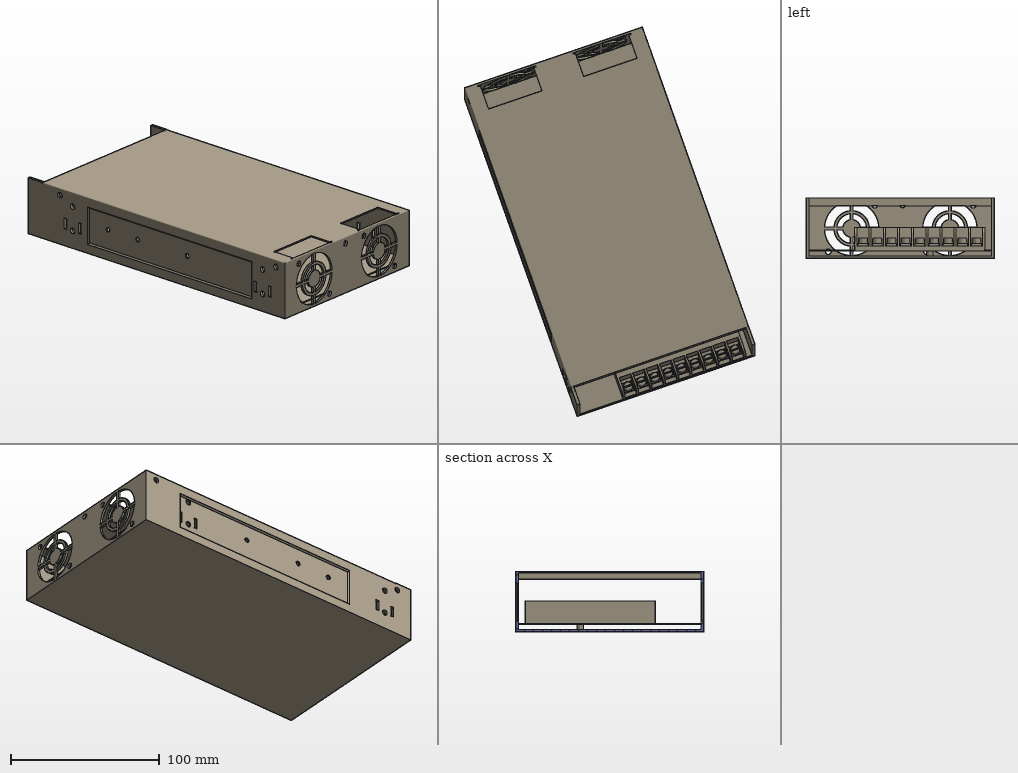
import cadquery as cq
length = 230.0
width = 126.5
height = 40.5
wall = 2.0
floor_thickness = 1.5
rear_thickness = 1.5
inner_width = width - 2 * wall

cover_front = 12.9
cover_thickness = 1.0
lip_height = 5.3

bend_radius = 0.7

window_centre_y = 33.8
window_width = 38.0
window_front = 211.0
relief_width = 41.0
relief_length = 0.7

fan_spacing = 66.0
fan_middle_y = -0.35
fan_centre_z = 20.0
grille_radius = 18.2
ring_outer_radius = 12.0
ring_inner_radius = 10.0
hub_radius = 6.0
spoke_width = 2.0
fan_screw_offset = 15.6
screw_hole_diameter = 3.7
rear_top_hole_y = -1.5
rear_top_hole_z = 35.9

side_hole_diameter = 4.0
near_group_x = (40.0, 210.0)
far_group_x = (22.5, 192.5)
side_group_z = (12.6, 30.4)
slot_spacing = 12.9
slot_width = 2.3
slot_height = 7.5
slot_z = 16.0
near_cover_hole_x = (28.5, 222.0)
far_cover_hole_x = (11.7, 221.3)
cover_hole_z = 35.5
recess_front, recess_rear = 53.1, 200.3
recess_bottom, recess_top = 6.5, 33.5
recess_depth = 1.2
recess_bevel = 1.04
panel_hole_x = (70.5, 97.0, 141.5)
panel_hole_z = 21.5
panel_hole_diameter = 3.2

board_bottom = 4.8
board_thickness = 0.7
board_top = board_bottom + board_thickness
standoff_x = 27.5
standoff_y = -19.8
standoff_diameter = 4.5

terminal_count = 9
terminal_pitch = 9.52
rib_thickness = 1.4
block_front = 0.0
block_length = 18.2
block_left = 30.5
block_width = 87.5
block_top = 20.7
block_corner_radius = 5.3
cell_floor = 8.3
cell_back = 12.0
cell_width = terminal_pitch - rib_thickness
plate_size = 6.7
plate_thickness = 1.5
screw_x = 6.1
screw_diameter = 6.2
screw_height = 3.7
screw_edge_radius = 1.0
screw_slot_width = 0.7
screw_slot_depth = 1.8


def box(x0, x1, y0, y1, z0, z1):
    """Return a block between two opposite corners."""
    return cq.Workplane("XY").box(x1 - x0, y1 - y0, z1 - z0, centered=False).translate((x0, y0, z0))


def rear_cylinder(radius, y, z):
    """Return a disc filling the thickness of the rear wall."""
    return cq.Workplane("YZ", origin=(length - rear_thickness, y, z)).circle(radius).extrude(rear_thickness)


def make_enclosure():
    half = inner_width / 2
    covered_part = box(cover_front, length, -width / 2, width / 2, 0, height)
    covered_part = covered_part.faces(">Z").edges("not <X").fillet(bend_radius)
    shell = box(0, cover_front, -width / 2, width / 2, 0, height).union(covered_part)
    shell = shell.cut(box(0, length - rear_thickness, -half, half, floor_thickness, height))
    cover = box(cover_front, length - rear_thickness, -half, half, height - cover_thickness, height)
    lip = box(cover_front, cover_front + cover_thickness, -half, half, height - lip_height, height)
    return shell.union(cover).union(lip)


def make_window(centre_y):
    rear = length - rear_thickness
    bottom = height - cover_thickness

    def opening(front, opening_width):
        return box(front, rear, centre_y - opening_width / 2, centre_y + opening_width / 2, bottom, height)

    return opening(window_front, window_width).union(opening(rear - relief_length, relief_width))


def make_grille(y):
    """Return the open areas of one fan grille and its two diagonal screw holes."""
    z = fan_centre_z
    opening = rear_cylinder(grille_radius, y, z)
    ring = rear_cylinder(ring_outer_radius, y, z).cut(rear_cylinder(ring_inner_radius, y, z))
    spokes = (
        cq.Workplane("YZ", origin=(length - rear_thickness, y, z))
        .rect(2 * grille_radius, spoke_width)
        .extrude(rear_thickness)
        .union(
            cq.Workplane("YZ", origin=(length - rear_thickness, y, z))
            .rect(spoke_width, 2 * grille_radius)
            .extrude(rear_thickness)
        )
    )
    opening = opening.cut(ring).cut(rear_cylinder(hub_radius, y, z)).cut(spokes)
    for sign in (-1, 1):
        offset = sign * fan_screw_offset
        opening = opening.union(rear_cylinder(screw_hole_diameter / 2, y - offset, z + offset))
    return opening


def make_side_cuts(side_group_x, cover_hole_x):
    """Return the recess, holes and slots of a side wall, placed in the -Y wall."""
    outer = cq.Workplane("XZ", origin=(0, -width / 2, 0))

    def holes(points, diameter):
        return outer.pushPoints(points).circle(diameter / 2).extrude(-wall)

    recess = box(
        recess_front, recess_rear, -width / 2, recess_depth - width / 2, recess_bottom, recess_top
    ).faces(">Y").chamfer(recess_bevel)
    slots = [(x + side * slot_spacing / 2, slot_z) for x in side_group_x for side in (-1, 1)]
    cuts = recess.union(outer.pushPoints(slots).rect(slot_width, slot_height).extrude(-wall))
    cuts = cuts.union(holes([(x, z) for x in side_group_x for z in side_group_z], side_hole_diameter))
    cuts = cuts.union(holes([(x, cover_hole_z) for x in cover_hole_x], side_hole_diameter))
    return cuts.union(holes([(x, panel_hole_z) for x in panel_hole_x], panel_hole_diameter))


def make_terminal_block():
    right = block_left - block_width
    block = box(block_front, block_front + block_length, right, block_left, board_bottom, block_top)
    block = block.edges("<X and >Z").fillet(block_corner_radius)
    cells_middle = (block_left + right) / 2
    for i in range(terminal_count):
        y = cells_middle + (i - (terminal_count - 1) / 2) * terminal_pitch
        block = block.cut(
            box(block_front, cell_back, y - cell_width / 2, y + cell_width / 2, cell_floor, block_top)
        )
        block = block.union(make_terminal_screw().translate((screw_x, y, cell_floor)))
    return block


def make_terminal_screw():
    """Return a square clamping plate carrying a slotted screw head."""
    plate = cq.Workplane("XY").rect(plate_size, plate_size).extrude(plate_thickness)
    head = (
        cq.Workplane("XY", origin=(0, 0, plate_thickness))
        .circle(screw_diameter / 2)
        .extrude(screw_height)
        .faces(">Z").edges().fillet(screw_edge_radius)
    )
    top = cq.Workplane("XY", origin=(0, 0, plate_thickness + screw_height))
    slot = top.rect(screw_slot_width, screw_diameter).extrude(-screw_slot_depth)
    return plate.union(head.cut(slot))


enclosure = make_enclosure()
for side in (-1, 1):
    enclosure = enclosure.cut(make_window(side * window_centre_y))
    enclosure = enclosure.cut(make_grille(fan_middle_y + side * fan_spacing / 2))
enclosure = enclosure.cut(rear_cylinder(screw_hole_diameter / 2, rear_top_hole_y, rear_top_hole_z))

enclosure = enclosure.cut(make_side_cuts(near_group_x, near_cover_hole_x))
enclosure = enclosure.cut(make_side_cuts(far_group_x, far_cover_hole_x).mirror("XZ"))

board = box(0, length - rear_thickness, -inner_width / 2, inner_width / 2, board_bottom, board_top)
standoff = (
    cq.Workplane("XY", origin=(standoff_x, standoff_y, floor_thickness))
    .circle(standoff_diameter / 2)
    .extrude(board_bottom - floor_thickness)
)

result = enclosure.union(board).union(standoff).union(make_terminal_block())